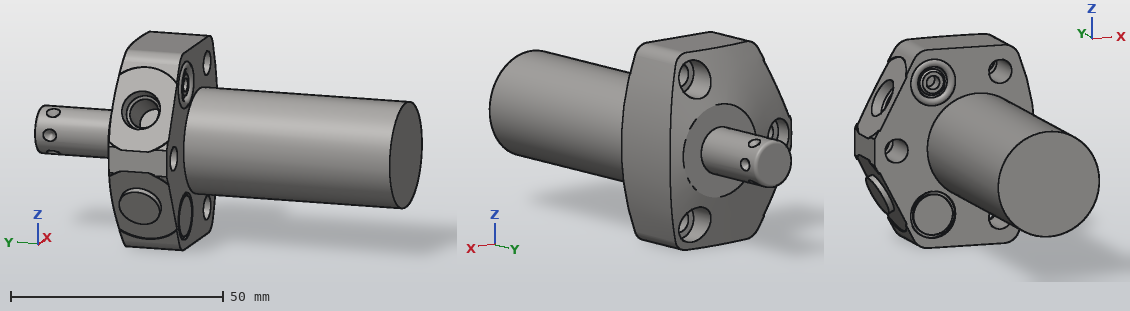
import cadquery as cq
import math


total_length = 90.1
plunger_end = 39.2
barrel_radius = 12.6
plunger_radius = 5.7
plunger_edge_radius = 0.8
pit_count = 6
pit_radius = 1.6
pit_to_end = 3.9

flange_thickness = 19.1
flange_left = -25.8
flange_right = 14.3
half_height = 23.8
left_flat_half = 3.15
flank_angle = math.radians(62)
right_arc_radius = 56.8
corner_radius = 4.0

cone_start_radius = 11.2
cone_angle = math.radians(18)
cone_outer_radius = 32.4

bolt_diameter = 5.7
bolt_head_diameter = 8.8
bolt_seat_y = 10.8
bolt_spots = [(-20.3, 0), (5.6, 17.5), (5.6, -17.5)]

port_y = 7.8
port_height = 11.4
spotface_radius = 10.5
spotface_depth = 0.3
spotface_clearance = 2.7
port_mouth_radius = 4.7
port_taper_radius = 4.2
port_bore_radius = 3.5
port_taper_depth = 2.4
port_shoulder_depth = 2.9
port_depth = 11.7
plug_radius = 5.0
plug_height = 1.4

seal_x = -11.2
seal_z = 15.9
ring_radius = 4.7
ring_wire_radius = 1.0
ring_centre_depth = 0.45
nozzle_radius = 3.15
nozzle_tip_radius = 2.6
nozzle_taper_depth = 0.5
nozzle_hole_radius = 1.6
nozzle_hole_depth = 3.6
seal_recess_depth = 0.9
groove_outer_radius = 5.6
groove_inner_radius = 4.9
groove_depth = 0.7

BACKWARD = cq.Vector(0, 1, 0)


def rod(radius, length, start, direction):
    """Cylinder running from start along direction."""
    return cq.Workplane(cq.Solid.makeCylinder(radius, length, start, direction))


def tube(outer_radius, inner_radius, length, start, direction):
    """Ring-shaped cylinder running from start along direction."""
    return rod(outer_radius, length, start, direction).cut(rod(inner_radius, length, start, direction))


def flange():
    flank_run = (half_height - left_flat_half) / math.tan(flank_angle)
    top_left = flange_left + flank_run
    arc_sag = right_arc_radius - math.sqrt(right_arc_radius**2 - half_height**2)
    top_right = flange_right - arc_sag
    prism = (
        cq.Workplane("XZ")
        .moveTo(flange_left, -left_flat_half)
        .lineTo(flange_left, left_flat_half)
        .lineTo(top_left, half_height)
        .lineTo(top_right, half_height)
        .threePointArc((flange_right, 0), (top_right, -half_height))
        .lineTo(top_left, -half_height)
        .close()
        .extrude(-flange_thickness)
    )
    for height in (half_height, -half_height):
        for x in (top_left, top_right):
            corner = cq.selectors.NearestToPointSelector((x, flange_thickness / 2, height))
            prism = prism.edges("|Y").edges(corner).fillet(corner_radius)

    cone_drop = (cone_outer_radius - cone_start_radius) * math.tan(cone_angle)
    cone_envelope = (
        cq.Workplane("XY")
        .polyline([
            (0, 0),
            (cone_outer_radius, 0),
            (cone_outer_radius, flange_thickness - cone_drop),
            (cone_start_radius, flange_thickness),
            (0, flange_thickness),
        ])
        .close()
        .revolve(360, (0, 0), (0, 1))
    )
    return prism.intersect(cone_envelope)


def bolt_holes():
    """Through holes, widened for the bolt heads from the conical back."""
    shanks = cq.Workplane("XZ").pushPoints(bolt_spots).circle(bolt_diameter / 2).extrude(-flange_thickness)
    seat = cq.Workplane("XZ", origin=(0, bolt_seat_y, 0))
    heads = seat.pushPoints(bolt_spots).circle(bolt_head_diameter / 2).extrude(bolt_seat_y - flange_thickness)
    return shanks.union(heads)


def plunger():
    body = rod(plunger_radius, plunger_end, cq.Vector(0, 0, 0), BACKWARD)
    body = body.faces(">Y").edges().fillet(plunger_edge_radius)
    pit_cone_length = 2 * pit_radius
    pit_y = plunger_end - pit_to_end
    for index in range(pit_count):
        angle = 2 * math.pi * index / pit_count
        outward = cq.Vector(math.cos(angle), 0, math.sin(angle))
        tip = cq.Vector(0, pit_y, 0) + outward * (plunger_radius - pit_radius)
        pit = cq.Solid.makeCone(0, pit_cone_length, pit_cone_length, tip, outward)
        body = body.cut(cq.Workplane(pit))
    return body


def flank_frame(side):
    """Centre of the spotface and its outward direction; side is +1 for upper, -1 for lower."""
    outward = cq.Vector(-math.sin(flank_angle), 0, side * math.cos(flank_angle))
    flank_x = flange_left + (port_height - left_flat_half) / math.tan(flank_angle)
    seat_x = flank_x + spotface_depth / math.sin(flank_angle)
    return cq.Vector(seat_x, port_y, side * port_height), outward


def spotface(side):
    centre, outward = flank_frame(side)
    return rod(spotface_radius, spotface_clearance, centre, outward)


def port():
    """Stepped bore: tapered mouth, conical shoulder and flat-bottomed bore."""
    centre, outward = flank_frame(1)
    profile = cq.Workplane(cq.Plane(centre, (0, 1, 0), outward * -1)).transformed((90, 0, 0))
    return (
        profile.polyline([
            (0, 0),
            (port_mouth_radius, 0),
            (port_taper_radius, port_taper_depth),
            (port_bore_radius, port_shoulder_depth),
            (port_bore_radius, port_depth),
            (0, port_depth),
        ])
        .close()
        .revolve(360, (0, 0), (0, 1))
    )


def flank_plug():
    centre, outward = flank_frame(-1)
    return rod(plug_radius, plug_height, centre, outward)


def add_seal(body):
    """Ring partly sunk around a tapered nozzle that ends flush with the front face."""
    centre = cq.Vector(seal_x, 0, seal_z)
    body = body.cut(tube(ring_radius, nozzle_radius, seal_recess_depth, centre, BACKWARD))
    nozzle_tip = cq.Solid.makeCone(nozzle_tip_radius, nozzle_radius, nozzle_taper_depth, centre, BACKWARD)
    around_tip = rod(nozzle_radius, nozzle_taper_depth, centre, BACKWARD).cut(cq.Workplane(nozzle_tip))
    body = body.cut(around_tip)
    body = body.cut(rod(nozzle_hole_radius, nozzle_hole_depth, centre, BACKWARD))
    ring_centre = centre + BACKWARD * ring_centre_depth
    ring = cq.Solid.makeTorus(ring_radius, ring_wire_radius, ring_centre, BACKWARD)
    return body.union(cq.Workplane(ring))


def plug_groove():
    centre = cq.Vector(seal_x, 0, -seal_z)
    return tube(groove_outer_radius, groove_inner_radius, groove_depth, centre, BACKWARD)


barrel = rod(barrel_radius, total_length - plunger_end, cq.Vector(0, 0, 0), BACKWARD * -1)

result = flange().cut(bolt_holes()).cut(spotface(1)).cut(spotface(-1)).cut(port()).union(flank_plug())
result = add_seal(result).cut(plug_groove())
result = result.union(plunger()).union(barrel)